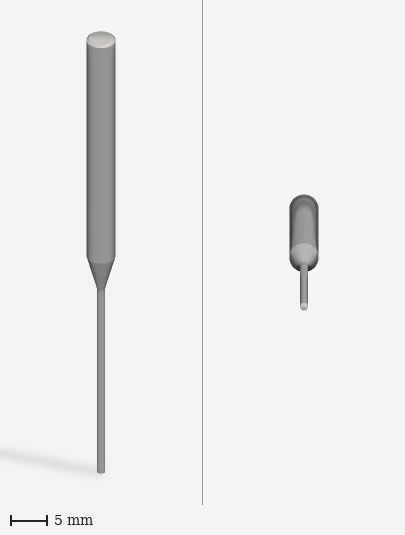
import cadquery as cq
import math

total_length = 73.0
shank_diameter = 4.0
shank_length = 36.5
top_chamfer_width = 0.4
top_chamfer_height = 0.3

neck_diameter = 1.1
taper_length = 5.55
neck_length = 3.3
cutter_diameter = 1.1
point_angle = 140.0

taper_top = total_length - shank_length
neck_top = taper_top - taper_length
joint_level = neck_top - neck_length


def revolve_about_z(half_profile):
    """Turn a closed outline of (radius, height) points into a solid about the Z axis."""
    return cq.Workplane("XZ").polyline(half_profile).close().revolve(360, (0, 0), (0, 1))


def make_holder():
    """Shank with a chamfered top, a conical taper and a short straight neck."""
    shank_radius = shank_diameter / 2
    neck_radius = neck_diameter / 2
    half_profile = [
        (0, joint_level),
        (neck_radius, joint_level),
        (neck_radius, neck_top),
        (shank_radius, taper_top),
        (shank_radius, total_length - top_chamfer_height),
        (shank_radius - top_chamfer_width, total_length),
        (0, total_length),
    ]
    return revolve_about_z(half_profile)


def make_cutter():
    """Thin round rod that meets the neck end to end, with a shallow conical point."""
    cutter_radius = cutter_diameter / 2
    point_height = cutter_radius / math.tan(math.radians(point_angle / 2))
    half_profile = [
        (0, 0),
        (cutter_radius, point_height),
        (cutter_radius, joint_level),
        (0, joint_level),
    ]
    return revolve_about_z(half_profile)


holder = make_holder()
cutter = make_cutter()

result = cq.Compound.makeCompound([holder.val(), cutter.val()])